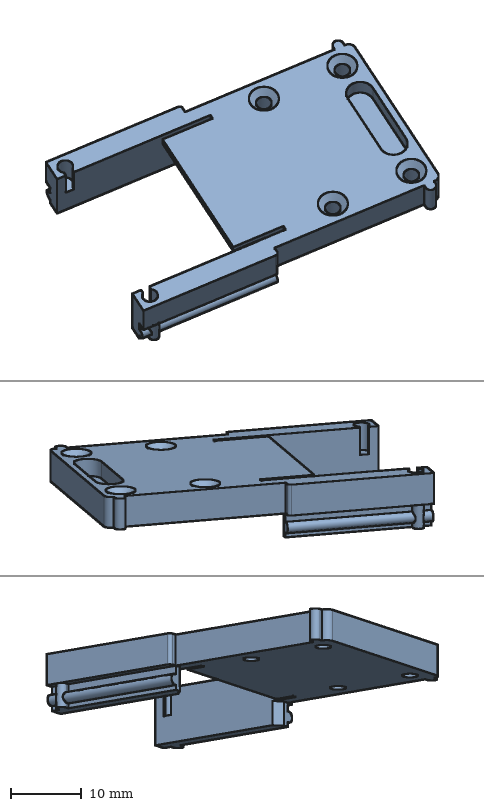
import cadquery as cq

length = 48.0
width = 29.6
height = 8.0

plate_width = 27.1
plate_thickness = 4.5
plate_corner_radius = 1.0

arm_width = 3.4
arm_length = 21.5
arm_shoulder_radius = 0.5
leg_rear_chamfer = 1.15
slot_width = 0.65
slot_end_y = 24.4

tongue_thickness = 0.95
tongue_tip_y = 16.4

rib_width = 1.6
rail_recess = 1.3
rail_gap = 0.25
rail_depth = 6.55
pin_y = 2.05
tab_y = length - 1.9

socket_diameter = 2.2
socket_neck_width = 1.3
socket_inset = 1.95
socket_depth = 4.0

screw_diameter = 2.2
countersink_diameter = 4.2
countersink_angle = 90
screw_spacing_x = 20.95
screw_spacing_y = 12.5
screw_rear_y = length - 3.1
pocket_length = 14.0
pocket_width = 4.0
pocket_depth = 2.5

half_width = width / 2
half_plate = plate_width / 2
arm_inner_x = half_width - arm_width
tongue_width = 2 * (arm_inner_x - slot_width)
leg_height = height - plate_thickness
sides = (-1, 1)


def block(x0, x1, y0, y1, z_top, z_bottom):
    """Box between two X, two Y and two Z limits."""
    return cq.Workplane("XY").box(
        abs(x1 - x0), y1 - y0, z_top - z_bottom, centered=False
    ).translate((min(x0, x1), y0, z_bottom))


def make_plate():
    y0 = tongue_tip_y
    plate = block(-half_plate, half_plate, y0, length, 0, -plate_thickness)
    plate = plate.edges("|Z and >Y").fillet(plate_corner_radius)
    undercut = block(-half_plate, half_plate, y0, arm_length, -tongue_thickness, -plate_thickness)
    plate = plate.cut(undercut)
    for side in sides:
        slot = block(side * tongue_width / 2, side * half_plate, y0, slot_end_y, 0, -plate_thickness)
        plate = plate.cut(slot)
    return plate


def make_arm(side):
    inner_x = side * arm_inner_x
    outer_x = side * half_width
    arm = block(inner_x, outer_x, 0, arm_length, 0, -plate_thickness)
    outer_edge = "|Z and >Y and >X" if side > 0 else "|Z and >Y and <X"
    arm = arm.edges(outer_edge).fillet(arm_shoulder_radius)
    root = block(inner_x, side * half_plate, 0, slot_end_y, 0, -plate_thickness)
    leg = block(inner_x, outer_x - side * rail_recess, 0, arm_length, -plate_thickness, -height)
    inner_edge = "|Z and >Y and <X" if side > 0 else "|Z and >Y and >X"
    leg = leg.edges(inner_edge).chamfer(leg_rear_chamfer)
    return arm.union(root).union(leg)


def make_upright_rib(side, y, wall_x, z_top, rib_height):
    """Vertical round-nosed rib from a wall out to the full part width."""
    nose_x = side * (half_width - rib_width / 2)
    nose = cq.Workplane("XY").center(nose_x, y).circle(rib_width / 2).extrude(-rib_height)
    neck = block(wall_x, nose_x, y - rib_width / 2, y + rib_width / 2, 0, -rib_height)
    return nose.union(neck).translate((0, 0, z_top))


def make_rail(side):
    """Horizontal round-nosed rib along the recessed side of an arm."""
    nose_x = side * (half_width - rail_gap - rib_width / 2)
    wall_x = side * (half_width - rail_recess)
    nose = cq.Workplane("XZ").center(nose_x, -rail_depth).circle(rib_width / 2).extrude(-arm_length)
    z_top = -rail_depth + rib_width / 2
    neck = block(wall_x, nose_x, 0, arm_length, z_top, z_top - rib_width)
    return nose.union(neck)


def make_socket(side):
    """Keyhole cutter that opens through the inner face of an arm."""
    centre_x = side * (half_width - socket_inset)
    bore = cq.Workplane("XY").center(centre_x, pin_y).circle(socket_diameter / 2).extrude(-socket_depth)
    half_neck = socket_neck_width / 2
    neck = block(side * arm_inner_x, centre_x, pin_y - half_neck, pin_y + half_neck, 0, -socket_depth)
    return bore.union(neck)


result = make_plate()
for side in sides:
    leg_wall_x = side * (half_width - rail_recess)
    result = result.union(make_arm(side))
    result = result.union(make_rail(side))
    result = result.union(make_upright_rib(side, pin_y, leg_wall_x, -plate_thickness, leg_height))
    result = result.union(make_upright_rib(side, tab_y, side * half_plate, 0, plate_thickness))
    result = result.cut(make_socket(side))

result = (
    result.faces(">Z")
    .workplane(origin=(0, screw_rear_y - screw_spacing_y / 2, 0))
    .rarray(screw_spacing_x, screw_spacing_y, 2, 2)
    .cskHole(screw_diameter, countersink_diameter, countersink_angle)
)

result = (
    result.faces(">Z")
    .workplane(origin=(0, screw_rear_y, 0))
    .slot2D(pocket_length, pocket_width)
    .cutBlind(-pocket_depth)
)